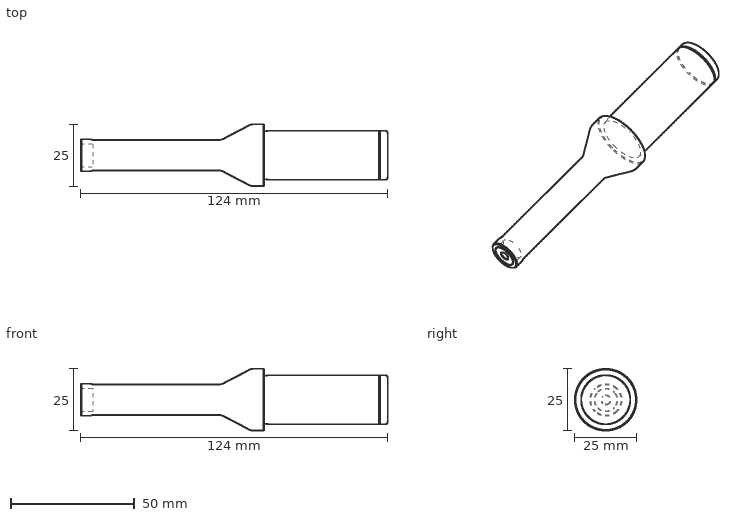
import cadquery as cq

total_length = 124.0

head_diameter = 13.0
head_chamfer = 0.4
head_land_end = 4.0
stem_start = 5.0
stem_diameter = 12.4

flare_blend_start = 55.7
flare_blend_end = 57.9
flare_end = 68.1
collar_start = 69.7
collar_end = 74.2
collar_diameter = 25.0
collar_chamfer = 0.4
flare_start_diameter = 13.6
flare_end_diameter = 24.3

handle_diameter = 20.0
groove_diameter = 19.5
undercut_end = 74.9
handle_start = 75.9
end_groove_start = 120.4
end_groove_width = 0.6
end_round = 1.1

plug_diameter = 9.4
plug_length = 5.0
plug_chamfer = 0.1
dish_outer_diameter = 8.9
dish_floor_diameter = 6.5
dish_depth = 0.1
center_recess_diameter = 4.0
center_recess_depth = 0.2
center_recess_bevel = 0.2


def revolve_about_x(profile):
    return profile.close().revolve(360, (0, 0, 0), (1, 0, 0))


def make_gauge():
    head = head_diameter / 2
    stem = stem_diameter / 2
    collar = collar_diameter / 2
    handle = handle_diameter / 2
    groove = groove_diameter / 2
    end_groove_end = end_groove_start + end_groove_width
    flare_start_radius = flare_start_diameter / 2
    flare_end_radius = flare_end_diameter / 2
    profile = (
        cq.Workplane("XY")
        .lineTo(0, head - head_chamfer)
        .lineTo(head_chamfer, head)
        .lineTo(head_land_end, head)
        .lineTo(stem_start, stem)
        .lineTo(flare_blend_start, stem)
        .tangentArcPoint((flare_blend_end, flare_start_radius), relative=False)
        .lineTo(flare_end, flare_end_radius)
        .tangentArcPoint((collar_start, collar), relative=False)
        .lineTo(collar_end - collar_chamfer, collar)
        .lineTo(collar_end, collar - collar_chamfer)
        .lineTo(collar_end, groove)
        .lineTo(undercut_end, groove)
        .lineTo(handle_start, handle)
        .lineTo(end_groove_start, handle)
        .lineTo(end_groove_end, groove)
        .lineTo(end_groove_end, handle)
        .lineTo(total_length - end_round, handle)
        .tangentArcPoint((total_length, handle - end_round), relative=False)
        .lineTo(total_length, 0)
    )
    return revolve_about_x(profile)


def make_plug_blank():
    """Cylinder that fills the plug pocket."""
    return cq.Workplane("YZ").circle(plug_diameter / 2).extrude(plug_length)


def make_plug():
    plug = plug_diameter / 2
    dish = dish_outer_diameter / 2
    floor = dish_floor_diameter / 2
    recess = center_recess_diameter / 2
    profile = (
        cq.Workplane("XY")
        .moveTo(dish_depth + center_recess_depth, 0)
        .lineTo(dish_depth + center_recess_depth, recess - center_recess_bevel)
        .lineTo(dish_depth, recess)
        .lineTo(dish_depth, floor)
        .lineTo(0, dish)
        .lineTo(plug_chamfer, plug)
        .lineTo(plug_length, plug)
        .lineTo(plug_length, 0)
    )
    return revolve_about_x(profile)


gauge = make_gauge().cut(make_plug_blank())
plug = make_plug()

result = cq.Compound.makeCompound([gauge.val(), plug.val()])